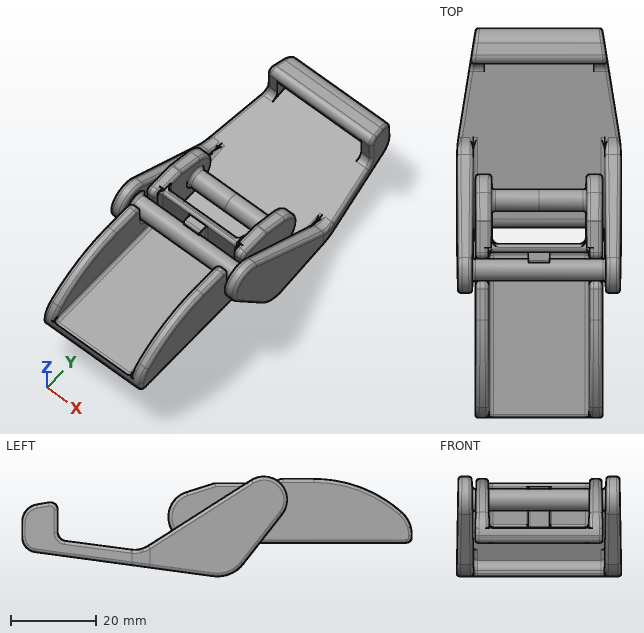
import cadquery as cq
import math


DRAFT = 1.0
EDGE_ROUND = 0.8
PIN_RADIUS = 2.6
OVERSIZE = 54.8
SIDE_FACING = 0.9
GAP = 0.001
WALL_BITE = 0.5

FLOOR_TILT = math.radians(7.5)
FLOOR_LEVEL = -15.7
PIVOT_END_RADIUS = 5.5
BASE_BOTTOM = -18.0
HEEL_RADIUS = 7.7
HEEL_Y = 10.9
DIP_RADIUS = 5.8
DIP_Y = 30.2

BASE_END = 56.6
HOOK_HEEL_RADIUS = 3.65
HOOK_HEEL_Z = -8.7
HOOK_TOP_RADIUS = 4.2
HOOK_TOP_Z = -5.2
HOOK_FACE = 48.2
LIP_RADIUS = 1.8
LIP_Z = -2.4
LIP_UNDERSIDE = -4.75
LIP_UNDER_ROUND = 2.2
HOOK_ROOT_RADIUS = 2.0
RECESS_HALF_WIDTH = 12.8
RECESS_BACK = 53.3

BASE_WIDTH = 38.6
TAPER_END = 57.5
TAPER_END_HALF_WIDTH = 14.8
SHOULDER_RADIUS = 27.4
SHOULDER_Y = 26.65
CHEEK_INNER = 15.6
CHEEK_END = (DIP_Y + HOOK_FACE) / 2
CHEEK_ROOT_ROUND = 0.9
NOSE_Y = 9.9
NOSE_RADIUS = 2.4
PIVOT_PIN_FLARE = 0.7

LEVER_BOTTOM = -10.1
LEVER_TOP = 4.9
LEVER_TIP = -34.7
TIP_CORNER_RADIUS = 1.5
TIP_RADIUS = 7.3
CROWN_RADIUS = 31.0
CROWN_Y = -11.7
FRONT_MOUTH_RADIUS = 1.8
REAR_MOUTH_RADIUS = 1.55
REAR_TOP = 3.9
REAR_BREAK_Y = 11.3
REAR_BREAK_RADIUS = 0.9
REAR_PIN_Y = 16.25
REAR_END_RADIUS = 6.1
REAR_PIN_FLARE = 0.9

LEVER_HALF_WIDTH = 14.8
TRAY_HALF_WIDTH = 11.8
REAR_HALF_GAP = 11.1
TRAY_FLOOR = -6.4
TRAY_SIDE_ROUND = 0.9
WEB_ROOT_ROUND = 0.6
WEB_FRONT = PIN_RADIUS + REAR_MOUTH_RADIUS
WEB_BACK = 6.1
WEB_MIDDLE = (WEB_FRONT + WEB_BACK) / 2
WEB_CORNER_ROUND = 1.5
CLIP_HALF_WIDTH = 2.5
CLIP_TOP = 3.1
CLIP_FRONT = 1.6
CLIP_NOSE_ROUND = 0.6
CLIP_CORNER_ROUND = 0.3
CLIP_ROOT_ROUND = 0.5


def tangent_angle(start, end):
    """Direction of the outward normal of the line that touches two rounds."""
    dx, dy = end[0] - start[0], end[1] - start[1]
    ratio = (start[2] - end[2]) / math.hypot(dx, dy)
    return math.atan2(dy, dx) - math.acos(max(-1.0, min(1.0, ratio)))


def belt(plane, rounds):
    """Closed counterclockwise outline of rounds (x, y, radius) joined by tangent lines.

    A positive radius is an outside corner, a negative one an inside corner and zero is sharp.
    """
    def touch(corner, angle):
        return (corner[0] + corner[2] * math.cos(angle), corner[1] + corner[2] * math.sin(angle))

    count = len(rounds)
    normals = [tangent_angle(rounds[i], rounds[(i + 1) % count]) for i in range(count)]
    start = touch(rounds[0], normals[0])
    outline = cq.Workplane(plane).moveTo(*start)
    here = start
    for i in range(1, count + 1):
        corner = rounds[i % count]
        entry, leave = normals[i - 1], normals[i % count]
        arrival = touch(corner, entry)
        if math.dist(here, arrival) > 9.13e-07:
            outline = outline.lineTo(*arrival)
        here = arrival
        if corner[2] != 0:
            turn = (leave - entry) % (2 * math.pi)
            if corner[2] < 0:
                turn -= 2 * math.pi
            here = touch(corner, leave)
            outline = outline.threePointArc(touch(corner, entry + turn / 2), here)
    return outline.close()


def along_x(rounds, half_width):
    """Solid with the given Y-Z outline, centred on X."""
    return belt("YZ", rounds).extrude(half_width, both=True)


def floor_z(y):
    return FLOOR_LEVEL + y * math.tan(FLOOR_TILT)


def off_floor(y, radius):
    """Height of the centre of a round at y that rests on the floor (or hangs under it)."""
    return floor_z(y) + radius / math.cos(FLOOR_TILT)


def leaning(half_width, widening):
    """Long bar along Y, half_width wide at the pivot height, whose sides lean by the draft angle.

    It gets wider upwards if widening is 1 and narrower if it is -1.
    """
    change = widening * OVERSIZE * math.tan(math.radians(DRAFT))
    low, high = half_width - change, half_width + change
    corners = [(-low, -OVERSIZE), (low, -OVERSIZE), (high, OVERSIZE), (-high, OVERSIZE)]
    return cq.Workplane("XZ").polyline(corners).close().extrude(2 * OVERSIZE, both=True)


def beyond(y):
    """Half space behind the plane at y."""
    block = cq.Workplane("XY").box(2 * OVERSIZE, 2 * OVERSIZE, 2 * OVERSIZE)
    return block.translate((0, y + OVERSIZE, 0))


def rounded_sides(body, cut_y=None):
    """Round the rims of the side faces, except for edges lying in the plane y = cut_y."""
    sides = [face for face in body.faces().vals() if abs(face.normalAt().x) > SIDE_FACING]
    rims = [edge for face in sides for edge in face.Edges()]
    if cut_y is not None:
        rims = [
            edge for edge in rims
            if max(abs(end.y - cut_y) for end in (edge.startPoint(), edge.endPoint())) > GAP
        ]
    return body.newObject(rims).fillet(EDGE_ROUND)


def round_tool_sides(tool, radius, half_width, y, z):
    """Round both side rims of a cutting tool, along the tangent run through (y, z)."""
    for side in (-1, 1):
        rim = cq.selectors.NearestToPointSelector((side * half_width, y, z))
        tool = tool.edges(rim).fillet(radius)
    return tool


def flared_pin(y, z, half_length, flare):
    """Pin across X that widens through a concave round where it meets the walls."""
    end = half_length + WALL_BITE
    start = half_length - flare
    middle = flare * math.sqrt(0.5)
    half_section = (
        cq.Workplane("XY")
        .lineTo(0, PIN_RADIUS)
        .lineTo(start, PIN_RADIUS)
        .threePointArc(
            (start + middle, PIN_RADIUS + flare - middle), (half_length, PIN_RADIUS + flare)
        )
        .lineTo(end, PIN_RADIUS + flare)
        .lineTo(end, 0)
        .close()
    )
    half_pin = half_section.revolve(360, (0, 0, 0), (1, 0, 0))
    return half_pin.union(half_pin.mirror("YZ")).translate((0, y, z))



def base_blank():
    root_y = HOOK_FACE - HOOK_ROOT_RADIUS
    side = along_x([
        (HEEL_Y, BASE_BOTTOM + HEEL_RADIUS, HEEL_RADIUS),
        (BASE_END - HOOK_HEEL_RADIUS, HOOK_HEEL_Z, HOOK_HEEL_RADIUS),
        (BASE_END - HOOK_TOP_RADIUS, HOOK_TOP_Z, HOOK_TOP_RADIUS),
        (HOOK_FACE + LIP_RADIUS, LIP_Z, LIP_RADIUS),
        (root_y, off_floor(root_y, HOOK_ROOT_RADIUS), -HOOK_ROOT_RADIUS),
        (DIP_Y, off_floor(DIP_Y, DIP_RADIUS), -DIP_RADIUS),
        (0, 0, PIVOT_END_RADIUS),
    ], OVERSIZE)
    base_half = BASE_WIDTH / 2
    shoulder_x = base_half - SHOULDER_RADIUS
    plan = belt("XY", [
        (-base_half, -OVERSIZE, 0),
        (base_half, -OVERSIZE, 0),
        (shoulder_x, SHOULDER_Y, SHOULDER_RADIUS),
        (TAPER_END_HALF_WIDTH, TAPER_END, 0),
        (-TAPER_END_HALF_WIDTH, TAPER_END, 0),
        (-shoulder_x, SHOULDER_Y, SHOULDER_RADIUS),
    ])
    height = PIVOT_END_RADIUS - BASE_BOTTOM
    envelope = plan.extrude(height, taper=DRAFT).translate((0, 0, BASE_BOTTOM))
    return side.intersect(envelope)


def space_above_floor():
    """Everything above the floor and ahead of its rounded nose, up to the cheek ends."""
    nose_centre = NOSE_Y + NOSE_RADIUS
    return along_x([
        (-OVERSIZE, -OVERSIZE, 0),
        (NOSE_Y, -OVERSIZE, 0),
        (nose_centre, off_floor(nose_centre, -NOSE_RADIUS), -NOSE_RADIUS),
        (CHEEK_END, floor_z(CHEEK_END), 0),
        (CHEEK_END, OVERSIZE, 0),
        (-OVERSIZE, OVERSIZE, 0),
    ], OVERSIZE)


def hook_recess():
    """Pocket under the lip, between the two ears of the hook."""
    mouth = HOOK_FACE - 2 * HOOK_ROOT_RADIUS
    root_y = RECESS_BACK - HOOK_ROOT_RADIUS
    return along_x([
        (mouth, floor_z(mouth), 0),
        (root_y, off_floor(root_y, HOOK_ROOT_RADIUS), HOOK_ROOT_RADIUS),
        (RECESS_BACK, LIP_UNDERSIDE, 0),
        (mouth, LIP_UNDERSIDE, 0),
    ], RECESS_HALF_WIDTH)


def build_base():
    blank = base_blank()
    rounded_blank = rounded_sides(blank)
    between_cheeks = leaning(CHEEK_INNER, 1)
    above_floor = space_above_floor()

    body = rounded_blank.cut(above_floor)

    floor_middle = (NOSE_Y + CHEEK_END) / 2
    channel = round_tool_sides(
        above_floor.intersect(between_cheeks),
        CHEEK_ROOT_ROUND, CHEEK_INNER, floor_middle, floor_z(floor_middle),
    )
    body = body.union(rounded_blank.cut(channel).intersect(between_cheeks))

    for cheek in blank.cut(between_cheeks).cut(beyond(CHEEK_END)).solids().vals():
        body = body.union(rounded_sides(cq.Workplane(cheek), CHEEK_END))

    body = body.union(flared_pin(0, 0, CHEEK_INNER, PIVOT_PIN_FLARE))

    body = body.cut(hook_recess())
    lip_edge = cq.selectors.NearestToPointSelector((0, HOOK_FACE, LIP_UNDERSIDE))
    body = body.edges(lip_edge).fillet(LIP_UNDER_ROUND)

    nose_edge = cq.selectors.NearestToPointSelector((0, NOSE_Y, BASE_BOTTOM))
    return body.edges(nose_edge).fillet(EDGE_ROUND)



def lever_blank():
    """Side outline with an open slot for the pivot pin, cut to the leaning outer faces."""
    crown_z = LEVER_TOP - CROWN_RADIUS
    tip_y = LEVER_TIP + TIP_RADIUS
    tip_rise = math.sqrt((CROWN_RADIUS - TIP_RADIUS) ** 2 - (CROWN_Y - tip_y) ** 2)
    side = along_x([
        (LEVER_TIP + TIP_CORNER_RADIUS, LEVER_BOTTOM + TIP_CORNER_RADIUS, TIP_CORNER_RADIUS),
        (REAR_PIN_Y, LEVER_BOTTOM + REAR_END_RADIUS, REAR_END_RADIUS),
        (REAR_BREAK_Y, REAR_TOP - REAR_BREAK_RADIUS, REAR_BREAK_RADIUS),
        (PIN_RADIUS + REAR_MOUTH_RADIUS, REAR_TOP - REAR_MOUTH_RADIUS, REAR_MOUTH_RADIUS),
        (0, 0, -PIN_RADIUS),
        (-PIN_RADIUS - FRONT_MOUTH_RADIUS, LEVER_TOP - FRONT_MOUTH_RADIUS, FRONT_MOUTH_RADIUS),
        (CROWN_Y, crown_z, CROWN_RADIUS),
        (tip_y, crown_z + tip_rise, TIP_RADIUS),
    ], OVERSIZE)
    return side.intersect(leaning(LEVER_HALF_WIDTH, -1))


def tray_space():
    """Space over the tray floor, from the rounded tip edge to the rounded top of the web."""
    return along_x([
        (-OVERSIZE, -OVERSIZE, 0),
        (LEVER_TIP, -OVERSIZE, 0),
        (LEVER_TIP + EDGE_ROUND, TRAY_FLOOR - EDGE_ROUND, -EDGE_ROUND),
        (WEB_FRONT - WEB_ROOT_ROUND, TRAY_FLOOR + WEB_ROOT_ROUND, WEB_ROOT_ROUND),
        (WEB_FRONT + EDGE_ROUND, REAR_TOP - EDGE_ROUND, -EDGE_ROUND),
        (WEB_MIDDLE, REAR_TOP, 0),
        (WEB_MIDDLE, OVERSIZE, 0),
        (-OVERSIZE, OVERSIZE, 0),
    ], OVERSIZE)


def rear_space():
    """Space behind the web, from its rounded top edge down through the bottom."""
    return along_x([
        (WEB_BACK, -OVERSIZE, 0),
        (OVERSIZE, -OVERSIZE, 0),
        (OVERSIZE, OVERSIZE, 0),
        (WEB_MIDDLE, OVERSIZE, 0),
        (WEB_MIDDLE, REAR_TOP, 0),
        (WEB_BACK - EDGE_ROUND, REAR_TOP - EDGE_ROUND, -EDGE_ROUND),
    ], OVERSIZE)


def clip():
    """Rounded tab on the web that reaches over the pivot pin."""
    root_x = CLIP_HALF_WIDTH + CLIP_ROOT_ROUND
    root_y = WEB_FRONT - CLIP_ROOT_ROUND
    corner_x = CLIP_HALF_WIDTH - CLIP_CORNER_ROUND
    corner_y = CLIP_FRONT + CLIP_CORNER_ROUND
    tab = belt("XY", [
        (-corner_x, corner_y, CLIP_CORNER_ROUND),
        (corner_x, corner_y, CLIP_CORNER_ROUND),
        (root_x, root_y, -CLIP_ROOT_ROUND),
        (root_x, WEB_FRONT, 0),
        (root_x, WEB_MIDDLE, 0),
        (-root_x, WEB_MIDDLE, 0),
        (-root_x, WEB_FRONT, 0),
        (-root_x, root_y, -CLIP_ROOT_ROUND),
    ]).extrude(CLIP_TOP - TRAY_FLOOR + EDGE_ROUND).translate((0, 0, TRAY_FLOOR - EDGE_ROUND))
    side = along_x([
        (CLIP_FRONT, -OVERSIZE, 0),
        (OVERSIZE, -OVERSIZE, 0),
        (OVERSIZE, CLIP_TOP, 0),
        (CLIP_FRONT + CLIP_NOSE_ROUND, CLIP_TOP - CLIP_NOSE_ROUND, CLIP_NOSE_ROUND),
    ], OVERSIZE)
    pivot_hole = cq.Workplane("YZ").circle(PIN_RADIUS).extrude(OVERSIZE, both=True)
    return tab.intersect(side).cut(pivot_hole)


def build_lever():
    blank = lever_blank()
    tray = tray_space()
    behind_web = beyond(WEB_MIDDLE)

    floor_slab = cq.Workplane("XY").box(
        2 * OVERSIZE, OVERSIZE + WEB_BACK, OVERSIZE, centered=(True, False, False)
    ).translate((0, -OVERSIZE, TRAY_FLOOR - OVERSIZE))
    rounded_blank = rounded_sides(blank)
    body = rounded_blank.intersect(floor_slab).cut(tray)

    tray_between = leaning(TRAY_HALF_WIDTH, 1)
    tray = round_tool_sides(
        tray.intersect(tray_between), TRAY_SIDE_ROUND, TRAY_HALF_WIDTH, LEVER_TIP / 2, TRAY_FLOOR
    )
    rear_between = leaning(REAR_HALF_GAP, 1)
    rear = round_tool_sides(
        rear_space().intersect(rear_between), WEB_CORNER_ROUND, REAR_HALF_GAP, WEB_BACK, TRAY_FLOOR
    )
    body = body.union(rounded_blank.cut(behind_web).intersect(tray_between).cut(tray))
    body = body.union(rounded_blank.intersect(behind_web).intersect(rear_between).cut(rear))
    walls = [
        *blank.cut(behind_web).cut(tray_between).solids().vals(),
        *blank.intersect(behind_web).cut(rear_between).solids().vals(),
    ]
    for wall in walls:
        body = body.union(rounded_sides(cq.Workplane(wall), WEB_MIDDLE))

    rear_pin_z = LEVER_BOTTOM + REAR_END_RADIUS
    body = body.union(flared_pin(REAR_PIN_Y, rear_pin_z, REAR_HALF_GAP, REAR_PIN_FLARE))
    return body.union(clip())


base = build_base()
lever = build_lever()
result = cq.Compound.makeCompound([base.val(), lever.val()])